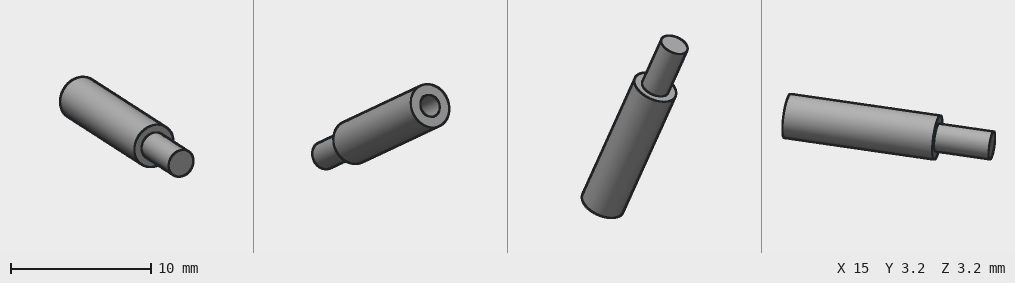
import cadquery as cq
import math

total_length = 15.0
body_length = 11.0
body_diameter = 3.2
pin_diameter = 2.02
hole_diameter = 1.6
hole_depth = 7.5
drill_point_angle = 118.0

body_radius = body_diameter / 2
pin_radius = pin_diameter / 2
hole_radius = hole_diameter / 2
tip_length = hole_radius / math.tan(math.radians(drill_point_angle / 2))

half_section = (
    cq.Workplane("XY")
    .moveTo(0, hole_radius)
    .lineTo(0, body_radius)
    .lineTo(body_length, body_radius)
    .lineTo(body_length, pin_radius)
    .lineTo(total_length, pin_radius)
    .lineTo(total_length, 0)
    .lineTo(hole_depth + tip_length, 0)
    .lineTo(hole_depth, hole_radius)
    .close()
)

result = half_section.revolve(360, (0, 0, 0), (1, 0, 0)).translate((-total_length / 2, 0, 0))